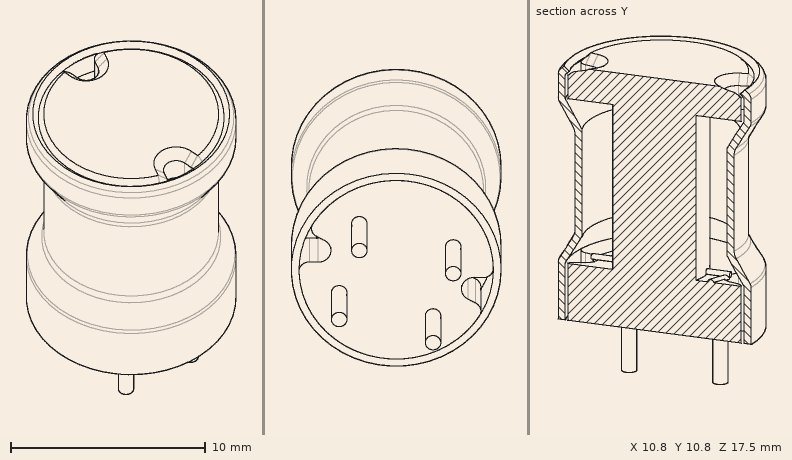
import cadquery as cq
import math

core_height = 14.0
pin_length = 3.5
lower_flange_height = 3.15
upper_flange_bottom = 12.2

flange_radius = 5.0
core_neck_radius = 2.5
rim_chamfer = 0.5

slot_center_x = 4.15
slot_radius = 0.65
slot_flare = math.radians(13.5)
slot_mouth_fillet = 0.52
slot_end_x = 7.5

pin_diameter = 0.8
pin_spacing_x = 5.0
pin_spacing_y = 4.0

wire_diameter = 0.3
wire_tip_radius = 3.8

wall = 0.4
sleeve_neck_radius = 4.1
neck_bend = 0.8
cone_angle = math.radians(30)
rim_angle = math.radians(45)


def polar(center, radius, angle):
    """Point at a radius and angle from a center, in the radius-height plane."""
    return (center[0] + radius * math.cos(angle), center[1] + radius * math.sin(angle))


def add_bend(profile, center, radius, start_angle, end_angle):
    """Run a line to the start of a bend, then follow the bend as an arc."""
    middle_angle = (start_angle + end_angle) / 2
    return profile.lineTo(*polar(center, radius, start_angle)).threePointArc(
        polar(center, radius, middle_angle), polar(center, radius, end_angle)
    )


def slot_prism(side):
    """Full-height slot with a round inner end and walls that flare outwards."""
    tangent_x = slot_center_x - slot_radius * math.sin(slot_flare)
    tangent_y = slot_radius * math.cos(slot_flare)
    end_y = tangent_y + (slot_end_x - tangent_x) * math.tan(slot_flare)
    return (
        cq.Workplane("XY")
        .moveTo(side * slot_end_x, end_y)
        .lineTo(side * tangent_x, tangent_y)
        .threePointArc((side * (slot_center_x - slot_radius), 0), (side * tangent_x, -tangent_y))
        .lineTo(side * slot_end_x, -end_y)
        .close()
        .extrude(core_height)
    )


def flange(bottom, top):
    """Slotted disc with rounded slot mouths."""
    disc = cq.Workplane("XY").workplane(offset=bottom).circle(flange_radius).extrude(top - bottom)
    for side in (-1, 1):
        disc = disc.cut(slot_prism(side))
        mouth = cq.selectors.BoxSelector(
            (side * slot_center_x, -flange_radius, bottom), (side * slot_end_x, flange_radius, top)
        )
        disc = disc.edges("|Z").edges(mouth).fillet(slot_mouth_fillet)
    return disc


def wire_segment(start, end):
    """Straight round wire between two points."""
    run = end - start
    return cq.Workplane(cq.Solid.makeCylinder(wire_diameter / 2, run.Length, start, run))


def wire_lead(side):
    """Lead that leaves the neck radially, then runs half sunk in the lower flange to above its pin."""
    radial_height = lower_flange_height + wire_diameter / 2
    turn_x = side * (wire_tip_radius - wire_diameter / 2)
    root = cq.Vector(0, 0, radial_height)
    tip = cq.Vector(side * wire_tip_radius, 0, radial_height)
    turn = cq.Vector(turn_x, 0, lower_flange_height)
    pin_top = cq.Vector(side * pin_spacing_x / 2, -side * pin_spacing_y / 2, lower_flange_height)
    return wire_segment(root, tip).union(wire_segment(turn, pin_top))


def make_core():
    neck = cq.Workplane("XY").circle(core_neck_radius).extrude(upper_flange_bottom)
    upper = flange(upper_flange_bottom, core_height)
    upper = upper.faces(">Z").edges().chamfer(rim_chamfer)
    core = neck.union(flange(0, lower_flange_height)).union(upper)
    pins = (
        cq.Workplane("XY")
        .rect(pin_spacing_x, pin_spacing_y, forConstruction=True)
        .vertices()
        .circle(pin_diameter / 2)
        .extrude(-pin_length)
    )
    core = core.union(pins)
    for side in (-1, 1):
        core = core.union(wire_lead(side))
    return core


def make_sleeve():
    """Thin tube shrunk over both flanges, necked in between and folded over the top rim."""
    lower_corner = (flange_radius, lower_flange_height)
    upper_corner = (flange_radius, upper_flange_bottom)
    rim_corner = (flange_radius, core_height - rim_chamfer)
    bend_radius = sleeve_neck_radius + wall + neck_bend
    cone_run = flange_radius - bend_radius + (wall + neck_bend) * math.cos(cone_angle)
    bend_rise = cone_run / math.tan(cone_angle) + (wall + neck_bend) * math.sin(cone_angle)
    lower_bend = (bend_radius, lower_flange_height + bend_rise)
    upper_bend = (bend_radius, upper_flange_bottom - bend_rise)

    bore_rise = (flange_radius - sleeve_neck_radius) / math.tan(cone_angle)

    fold_end = polar(rim_corner, wall, rim_angle)
    lip_run = core_height - fold_end[1]

    inward = math.pi
    profile = cq.Workplane("XZ").moveTo(flange_radius, 0).lineTo(flange_radius + wall, 0)
    profile = add_bend(profile, lower_corner, wall, 0, cone_angle)
    profile = add_bend(profile, lower_bend, neck_bend, inward + cone_angle, inward)
    profile = add_bend(profile, upper_bend, neck_bend, inward, inward - cone_angle)
    profile = add_bend(profile, upper_corner, wall, -cone_angle, 0)
    profile = add_bend(profile, rim_corner, wall, 0, rim_angle)
    profile = (
        profile.lineTo(fold_end[0] - lip_run, core_height)
        .lineTo(rim_corner[0] - lip_run, rim_corner[1] + lip_run)
        .lineTo(*rim_corner)
        .lineTo(*upper_corner)
        .lineTo(sleeve_neck_radius, upper_flange_bottom - bore_rise)
        .lineTo(sleeve_neck_radius, lower_flange_height + bore_rise)
        .lineTo(*lower_corner)
        .close()
    )
    return profile.revolve(360, (0, 0, 0), (0, 1, 0))


core = make_core()
sleeve = make_sleeve()
result = cq.Compound.makeCompound([core.val(), sleeve.val()])